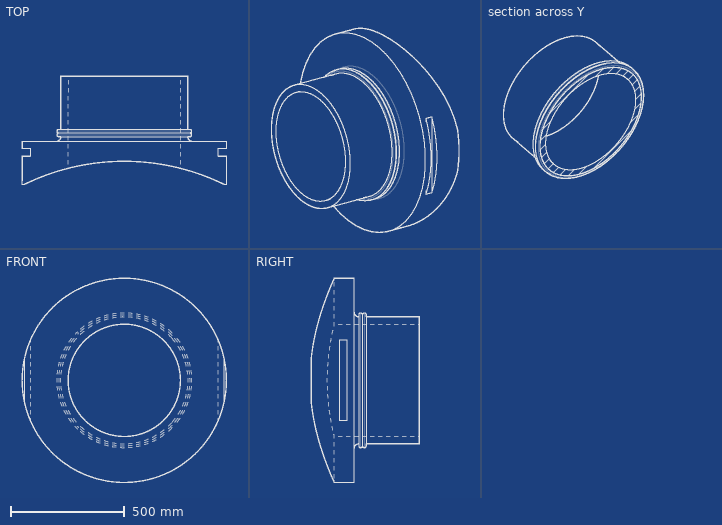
import cadquery as cq
import math

pipe_diameter = 560.0
bore_diameter = 493.6
pipe_length = 287.0
pipe_radius = pipe_diameter / 2

flange_diameter = 900.0
flange_depth = 190.0
flange_crown_depth = 88.0
saddle_radius = 1000.0
flange_radius = flange_diameter / 2

root_fillet_radius = 20.0

bead_count = 2
bead_width = 16.5
bead_height = 17.0
bead_start = root_fillet_radius
bead_radius = bead_width / 2

slot_width = 33.0
slot_depth = 36.5
slot_offset = 32.0


def cylinder_along_y(radius, start, end):
    """Solid cylinder around the Y axis between two Y positions."""
    return cq.Workplane("XZ", origin=(0, start, 0)).circle(radius).extrude(start - end)


def make_saddle_flange():
    """Round flange whose front is hollowed by a cylinder parallel to Z."""
    disc = cylinder_along_y(flange_radius, -flange_depth, 0)
    saddle_center_y = -flange_crown_depth - saddle_radius
    saddle = (
        cq.Workplane("XY", origin=(0, saddle_center_y, -flange_radius))
        .circle(saddle_radius)
        .extrude(flange_diameter)
    )
    return disc.cut(saddle)


def make_pipe():
    """Pipe body, with the concave fillet that blends it into the flange."""
    arc_reach = root_fillet_radius * (1 - math.sqrt(0.5))
    profile = (
        cq.Workplane("XY")
        .moveTo(0, -flange_crown_depth / 2)
        .lineTo(pipe_radius + root_fillet_radius, -flange_crown_depth / 2)
        .lineTo(pipe_radius + root_fillet_radius, 0)
        .threePointArc((pipe_radius + arc_reach, arc_reach), (pipe_radius, root_fillet_radius))
        .lineTo(pipe_radius, pipe_length)
        .lineTo(0, pipe_length)
        .close()
    )
    return profile.revolve(360, (0, 0, 0), (0, 1, 0))


def make_bead(start):
    """Ring with flat flanks and a crest of two quarter rounds, starting at the given Y."""
    crest_radius = pipe_radius + bead_height
    shoulder_radius = crest_radius - bead_radius
    middle = start + bead_radius
    end = start + bead_width
    arc_offset = bead_radius * math.sqrt(0.5)
    profile = (
        cq.Workplane("XY")
        .moveTo(0, start)
        .lineTo(shoulder_radius, start)
        .threePointArc((shoulder_radius + arc_offset, middle - arc_offset), (crest_radius, middle))
        .threePointArc((shoulder_radius + arc_offset, middle + arc_offset), (shoulder_radius, end))
        .lineTo(0, end)
        .close()
    )
    return profile.revolve(360, (0, 0, 0), (0, 1, 0))


def make_slot(side):
    """Slot cutter through the full height of one flange side (+1 or -1 in X)."""
    center = (side * flange_radius, -slot_offset - slot_width / 2, 0)
    return cq.Workplane("XY", origin=center).box(2 * slot_depth, slot_width, flange_diameter)


result = make_saddle_flange().union(make_pipe())

for index in range(bead_count):
    result = result.union(make_bead(bead_start + index * bead_width))

for side in (-1, 1):
    result = result.cut(make_slot(side))

result = result.cut(cylinder_along_y(bore_diameter / 2, -flange_depth, pipe_length))